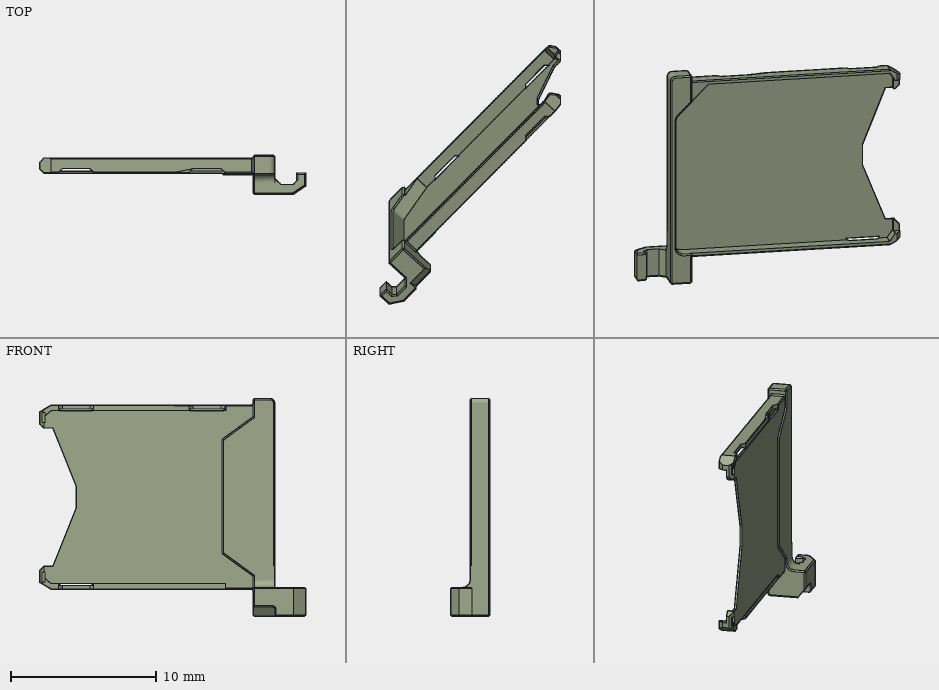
import cadquery as cq


rail_back_depth = 0.18
slot_floor_depth = 0.93
cavity_depth = 1.10
ledge_depth = 1.20
sheet_depth = 1.25
head_depth = 1.36
hook_depth = 2.70

tray_width = 12.67
tray_mid_z = 8.20
rail_thickness = 0.27
ledge_width = 0.38
tray_top = tray_mid_z + tray_width / 2
rail_inner_z = tray_top - rail_thickness
ledge_inner_z = tray_top - ledge_width
ledge_end_x = 12.77
rail_chamfer = 0.08

prong_corner_x = 0.78
prong_corner_drop = 0.47
prong_tip_length = 0.83
prong_inner_chamfer = 0.29
prong_inner_z = tray_top - prong_corner_drop - prong_tip_length - prong_inner_chamfer
notch_start_x = 0.90
notch_end_x = 2.50
notch_floor_length = 1.48
tip_chamfer_x = 0.28
tip_back_chamfer = 0.33
tip_front_chamfer = 0.30
tip_back_z = 13.71
tip_lip_depth = 0.77
ledge_corner_x = 0.79
ledge_diagonal_slope = 0.87
tip_recess_start_x = 0.13
tip_recess_end_x = 0.35
tip_recess_length = 0.70
tip_recess_top = 14.04

cavity_start_x = 0.40
cavity_corner_x = 0.79
cavity_end_x = 15.78
cavity_key = 2.29
cavity_key_radius = 0.58
cavity_corner_radius = 0.55

near_slot_start_x = 1.23
near_slot_end_x = 3.76
far_slot_start_x = 10.21
far_slot_end_x = 12.80
slot_depth = sheet_depth - slot_floor_depth
slot_ramp_start_x = 9.30
slot_ramp_drop = 0.06

head_start_x = 14.68
head_end_x = 16.18
head_top = 15.0
head_corner_radius = 0.36
head_edge = 0.10
head_foot_top = 3.51
pad_start_x = 12.55
pad_outer_half = 5.49
pad_inner_half = 3.94
pad_mid_z = 8.25
pad_joint_radius = 0.15
joint_chamfer = 0.11

hook_width = 2.0
hook_end_x = 18.30
hook_finger_x = 17.65
hook_finger_depth = 1.22
hook_throat_depth = 2.0
hook_throat_start_x = 16.60
hook_throat_end_x = 17.44
hook_throat_entry = 1.62
hook_throat_exit = 1.78
hook_nose_depth = 2.12
hook_root_radius = 0.52
relief_height = 0.66
relief_depth = 0.60
relief_end_x = 16.18
relief_radius = 0.20
relief_edge = 0.08

overshoot = 1.0


def plate(outline, start_depth, end_depth):
    """Extrude an XZ outline between two depths."""
    plane = cq.Workplane("XZ", origin=(0, -start_depth, 0))
    return plane.polyline(outline).close().extrude(end_depth - start_depth)


def block(x_range, depth_range, z_range):
    """Box between two X values, two depths and two Z values."""
    sizes = [x_range[1] - x_range[0], depth_range[1] - depth_range[0], z_range[1] - z_range[0]]
    box = cq.Workplane("XY").box(*sizes, centered=False)
    return box.translate((x_range[0], -depth_range[1], z_range[0]))


def upright(outline, z_range):
    """Extrude an XY outline between two Z values."""
    plane = cq.Workplane("XY", origin=(0, 0, z_range[0]))
    return plane.polyline(outline).close().extrude(z_range[1] - z_range[0])


def mirrored(z):
    """Height on the other side of the tray's centre line."""
    return 2 * tray_mid_z - z


def mirror_feature(feature):
    """Copy of a feature on the other side of the tray's centre line."""
    return feature.mirror("XY", (0, 0, tray_mid_z))


def make_tray_body():
    upper = [
        (notch_end_x, tray_mid_z + notch_floor_length / 2),
        (notch_start_x, prong_inner_z),
        (prong_inner_chamfer, prong_inner_z),
        (0, prong_inner_z + prong_inner_chamfer),
        (0, tray_top - prong_corner_drop),
        (prong_corner_x, tray_top),
        (head_start_x, tray_top),
    ]
    lower = [(x, mirrored(z)) for x, z in reversed(upper)]
    body = plate(upper + lower, rail_back_depth, sheet_depth)
    body = body.faces(">Z or <Z").edges("|X").chamfer(rail_chamfer)
    back_corner = [
        (0, -rail_back_depth),
        (tip_chamfer_x, -rail_back_depth),
        (0, -rail_back_depth - tip_back_chamfer),
    ]
    front_corner = [
        (0, -sheet_depth),
        (tip_chamfer_x, -sheet_depth),
        (0, -sheet_depth + tip_front_chamfer),
    ]
    for corner in (back_corner, front_corner):
        body = body.cut(upright(corner, (0, head_top)))
    return body


def make_ledge_cut():
    """Step along the rail and around the prong that leaves the sheet proud."""
    drop = ledge_diagonal_slope * ledge_corner_x
    outline = [
        (0, ledge_inner_z - drop),
        (ledge_corner_x, ledge_inner_z),
        (ledge_end_x, ledge_inner_z),
        (ledge_end_x, tray_top),
        (0, tray_top),
    ]
    return plate(outline, ledge_depth, sheet_depth)


def make_slot(start_x, end_x):
    """Slot in the front edge of the rail with 45 degree ends."""
    outline = [
        (start_x, -sheet_depth),
        (start_x + slot_depth, -slot_floor_depth),
        (end_x - slot_depth, -slot_floor_depth),
        (end_x, -sheet_depth),
    ]
    return upright(outline, (ledge_inner_z, tray_top))


def make_slot_ramp():
    """Shallow wedge leading along the rail's outer face into the far slot."""
    outline = [
        (slot_ramp_start_x, -sheet_depth + rail_chamfer),
        (far_slot_start_x + slot_depth, -slot_floor_depth),
        (far_slot_start_x, -sheet_depth),
        (slot_ramp_start_x, -sheet_depth),
    ]
    return upright(outline, (tray_top - slot_ramp_drop, tray_top))


def make_tip_recess():
    return block(
        (tip_recess_start_x, tip_recess_end_x),
        (cavity_depth, sheet_depth),
        (tip_recess_top - tip_recess_length, tip_recess_top),
    )


def make_cavity():
    """Card space open at the back, with one keyed corner at the head."""
    low_z = mirrored(rail_inner_z)
    outline = [
        (cavity_start_x, tip_back_z),
        (cavity_corner_x, rail_inner_z),
        (cavity_end_x - cavity_key, rail_inner_z),
        (cavity_end_x, rail_inner_z - cavity_key),
        (cavity_end_x, low_z),
        (cavity_corner_x, low_z),
        (cavity_start_x, mirrored(tip_back_z)),
    ]
    space = plate(outline, 0, cavity_depth)
    space = space.faces(">X").edges("|Y").edges(">Z").fillet(cavity_key_radius)
    space = space.faces(">X").edges("|Y").edges("<Z").fillet(cavity_corner_radius)
    mouth = block(
        (-overshoot, cavity_corner_x),
        (0, tip_lip_depth),
        (mirrored(tip_back_z), tip_back_z),
    )
    return space.union(mouth)


def make_column():
    """Bar that closes the tray, sunk into the hook at its lower end."""
    column = block((head_start_x, head_end_x), (0, head_depth), (hook_width / 2, head_top))
    column = column.edges("|Y").edges(">X and >Z").fillet(head_corner_radius)
    return column.faces("<Y").edges(">Z").chamfer(head_edge)


def make_foot():
    """Square front corner at the lower end of the column."""
    return block(
        (head_end_x - 2 * head_edge, head_end_x),
        (cavity_depth, head_depth),
        (hook_width, head_foot_top),
    )


def make_pad():
    """Raised trapezoid where the head overlaps the front of the sheet."""
    pad_end_x = head_start_x + 1.5 * head_edge
    slope = (pad_outer_half - pad_inner_half) / (head_start_x - pad_start_x)
    end_half = pad_inner_half + slope * (pad_end_x - pad_start_x)
    outline = [
        (pad_end_x, pad_mid_z - end_half),
        (pad_start_x, pad_mid_z - pad_inner_half),
        (pad_start_x, pad_mid_z + pad_inner_half),
        (pad_end_x, pad_mid_z + end_half),
    ]
    pad = plate(outline, cavity_depth, head_depth)
    pad = pad.edges("|Y").edges("<X").fillet(pad_joint_radius)
    return pad.faces("<Y").edges("<X").chamfer(head_edge)


def make_hook():
    outline = [
        (head_start_x, 0),
        (head_end_x, 0),
        (head_end_x, -hook_throat_entry),
        (hook_throat_start_x, -hook_throat_depth),
        (hook_throat_end_x, -hook_throat_depth),
        (hook_finger_x, -hook_throat_exit),
        (hook_finger_x, -hook_finger_depth),
        (hook_end_x, -hook_finger_depth),
        (hook_end_x, -hook_nose_depth),
        (hook_throat_end_x, -hook_depth),
        (head_start_x, -hook_depth),
    ]
    return upright(outline, (0, hook_width))


def make_hook_root():
    """Concave round between the head's front face and the hook's upper face."""
    depth = head_depth + hook_root_radius
    top = hook_width + hook_root_radius
    corner = block((head_start_x, head_end_x), (head_depth, depth), (hook_width, top))
    axis = cq.Workplane("YZ", origin=(head_start_x, -depth, top))
    return corner.cut(axis.circle(hook_root_radius).extrude(head_end_x - head_start_x))


def make_head():
    """Column and hook in one, with their outer edges broken."""
    head = make_column().union(make_foot()).union(make_hook()).union(make_hook_root())
    middle = (hook_finger_x + hook_end_x) / 2
    finger_edges = [
        (middle, -hook_finger_depth, hook_width),
        (hook_finger_x, -(hook_finger_depth + hook_throat_exit) / 2, hook_width),
        (hook_end_x, -(hook_finger_depth + hook_nose_depth) / 2, hook_width),
        ((hook_throat_end_x + hook_end_x) / 2, -(hook_depth + hook_nose_depth) / 2, hook_width),
    ]
    edges = head.faces("<X or <Y or <Z").edges()
    for point in finger_edges:
        edges = edges.add(head.edges(cq.NearestToPointSelector(point)))
    nose_edge = head.edges(cq.NearestToPointSelector((hook_throat_end_x, -hook_depth, hook_width / 2)))
    nose_middle = nose_edge.val().Center()
    outer = []
    for edge in edges.vals():
        on_back = edge.Center().y > -head_edge
        is_nose = (edge.Center() - nose_middle).Length < head_edge
        if not on_back and not is_nose:
            outer.append(edge)
    return head.newObject(outer).chamfer(head_edge)


def make_relief():
    """Sloped cut under the hook's front edge, rounded at its inner end."""
    profile = cq.Workplane("YZ", origin=(head_start_x, 0, 0)).polyline([
        (-hook_depth, 0),
        (-hook_depth, relief_height + relief_edge),
        (-hook_depth + relief_depth, 0),
    ])
    wedge = profile.close().extrude(relief_end_x - head_start_x)
    span = (head_start_x - overshoot, relief_end_x)
    window = block(span, (0, hook_depth), (-overshoot, relief_height))
    window = window.edges("|Y").edges(">X and >Z").fillet(relief_radius)
    inner_depth = hook_depth - relief_edge
    lip_outline = window.faces("<Y").wires().val().translate((0, relief_edge, 0))
    lip_plane = cq.Workplane("XZ", origin=(0, -inner_depth, 0))
    lip = lip_plane.add(lip_outline).toPending().extrude(relief_edge, taper=-45)
    return wedge.intersect(window).union(lip)


def make_joint(z):
    """Small chamfer strip filling the corner between a rail and the head."""
    outline = [
        (head_start_x - joint_chamfer, z),
        (head_start_x, z + joint_chamfer),
        (head_start_x, z),
    ]
    return plate(outline, rail_back_depth + rail_chamfer, sheet_depth - rail_chamfer)


tray = make_tray_body()
ledge_cut = make_ledge_cut()
near_slot = make_slot(near_slot_start_x, near_slot_end_x)
tip_recess = make_tip_recess()
for feature in (ledge_cut, near_slot, tip_recess):
    tray = tray.cut(feature).cut(mirror_feature(feature))
tray = tray.cut(make_slot(far_slot_start_x, far_slot_end_x)).cut(make_slot_ramp())

head = make_head().union(make_pad())
cavity = make_cavity()
head = head.cut(cavity)
head = head.faces(">Y").edges().chamfer(head_edge)
joint = make_joint(tray_top)
result = tray.cut(cavity).union(head).union(joint).union(mirror_feature(joint))
result = result.cut(make_relief())